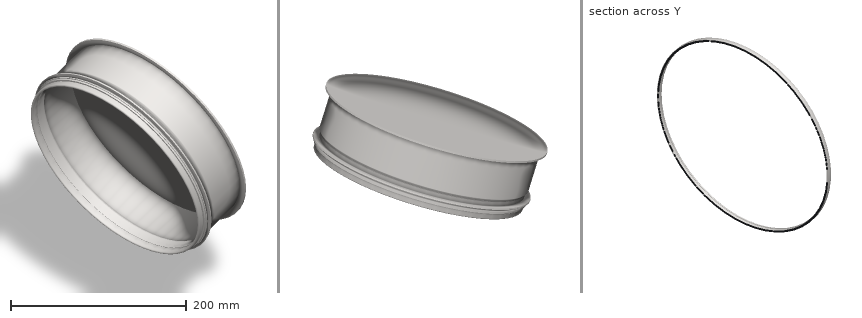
import cadquery as cq

LENGTH = 75.0
BACK_Y = LENGTH / 2

FLANGE_RADIUS = 264 / 2
DISC_THICKNESS = 2.5

SHEET = 0.5
BODY_RADIUS = 248.9 / 2
NECK_RADIUS = 244.0 / 2
NECK_BORE_RADIUS = 243.0 / 2
SEAT_START = 65.2
SEAT_RADIUS = 245.5 / 2
SEAT_BORE_RADIUS = 244.0 / 2
SHOULDER_START = 50.7
SHOULDER_END = 53.8
SHOULDER_BEND = 1.5
BEAD_START = 69.0
RIM_START = 72.5
RIM_ROUND = 1.3

GASKET_START = 59.0
GASKET_RADIUS = 247.8 / 2
LARGE_LIP_BACK_RADIUS = 259.0 / 2
LARGE_LIP_RADIUS = 259.5 / 2
LARGE_LIP_END = 61.0
LARGE_LIP_FILLET = 0.8
SMALL_LIP_START = 63.9
SMALL_LIP_END = 65.2
SMALL_LIP_RADIUS = 254.5 / 2
STEP_END = 67.3
STEP_RADIUS = 252.0 / 2


def turned(points):
    """Revolve a closed outline of (radius, depth) points about the Y axis."""
    outline = [(radius, BACK_Y - depth) for radius, depth in points]
    return cq.Workplane("XY").polyline(outline).close().revolve(360, (0, 0, 0), (0, 1, 0))


class Circle(cq.Selector):
    """Selects the circular edge with a given radius and depth."""

    TOLERANCE = 0.003

    def __init__(self, radius, depth):
        self.radius = radius
        self.y = BACK_Y - depth

    def matches(self, edge):
        if edge.geomType() != "CIRCLE":
            return False
        radius_error = abs(edge.radius() - self.radius)
        y_error = abs(edge.arcCenter().y - self.y)
        return max(radius_error, y_error) < self.TOLERANCE

    def filter(self, objects):
        return [edge for edge in objects if self.matches(edge)]


def bend_shoulder(solid, body_radius, neck_radius):
    """Round both ends of the conical shoulder."""
    solid = solid.edges(Circle(body_radius, SHOULDER_START)).fillet(SHOULDER_BEND)
    return solid.edges(Circle(neck_radius, SHOULDER_END)).fillet(SHOULDER_BEND)


def make_disc():
    """Flat round plate closing the back."""
    return turned([(0, 0), (FLANGE_RADIUS, 0), (FLANGE_RADIUS, DISC_THICKNESS), (0, DISC_THICKNESS)])


def make_shell():
    """Thin tube that steps in to a neck, widens slightly at its seat and ends in a rounded bead."""
    outside = turned([
        (0, DISC_THICKNESS),
        (BODY_RADIUS, DISC_THICKNESS),
        (BODY_RADIUS, SHOULDER_START),
        (NECK_RADIUS, SHOULDER_END),
        (NECK_RADIUS, SEAT_START),
        (SEAT_RADIUS, SEAT_START),
        (SEAT_RADIUS, BEAD_START),
        (BODY_RADIUS, BEAD_START),
        (BODY_RADIUS, LENGTH),
        (0, LENGTH),
    ])
    outside = bend_shoulder(outside, BODY_RADIUS, NECK_RADIUS)
    bore = turned([
        (0, DISC_THICKNESS),
        (BODY_RADIUS - SHEET, DISC_THICKNESS),
        (BODY_RADIUS - SHEET, SHOULDER_START),
        (NECK_BORE_RADIUS, SHOULDER_END),
        (NECK_BORE_RADIUS, SEAT_START + SHEET),
        (SEAT_BORE_RADIUS, SEAT_START + SHEET),
        (SEAT_BORE_RADIUS, RIM_START),
        (NECK_BORE_RADIUS, RIM_START),
        (NECK_BORE_RADIUS, LENGTH),
        (0, LENGTH),
    ])
    bore = bend_shoulder(bore, BODY_RADIUS - SHEET, NECK_BORE_RADIUS)
    shell = outside.cut(bore)
    shell = shell.edges(Circle(BODY_RADIUS, LENGTH)).fillet(RIM_ROUND)
    return shell.edges(Circle(NECK_BORE_RADIUS, LENGTH)).fillet(RIM_ROUND)


def make_gasket():
    """Ring with a large sealing lip, a smaller lip and a step in front of it."""
    gasket = turned([
        (NECK_RADIUS, GASKET_START),
        (LARGE_LIP_BACK_RADIUS, GASKET_START),
        (LARGE_LIP_RADIUS, LARGE_LIP_END),
        (GASKET_RADIUS, LARGE_LIP_END),
        (GASKET_RADIUS, SMALL_LIP_START),
        (SMALL_LIP_RADIUS, SMALL_LIP_START),
        (SMALL_LIP_RADIUS, SMALL_LIP_END),
        (STEP_RADIUS, SMALL_LIP_END),
        (STEP_RADIUS, STEP_END),
        (GASKET_RADIUS, STEP_END),
        (GASKET_RADIUS, BEAD_START),
        (SEAT_RADIUS, BEAD_START),
        (SEAT_RADIUS, SEAT_START),
        (NECK_RADIUS, SEAT_START),
    ])
    return gasket.edges(Circle(GASKET_RADIUS, LARGE_LIP_END)).fillet(LARGE_LIP_FILLET)


disc = make_disc()
shell = make_shell()
gasket = make_gasket()
result = cq.Compound.makeCompound([disc.val(), shell.val(), gasket.val()])